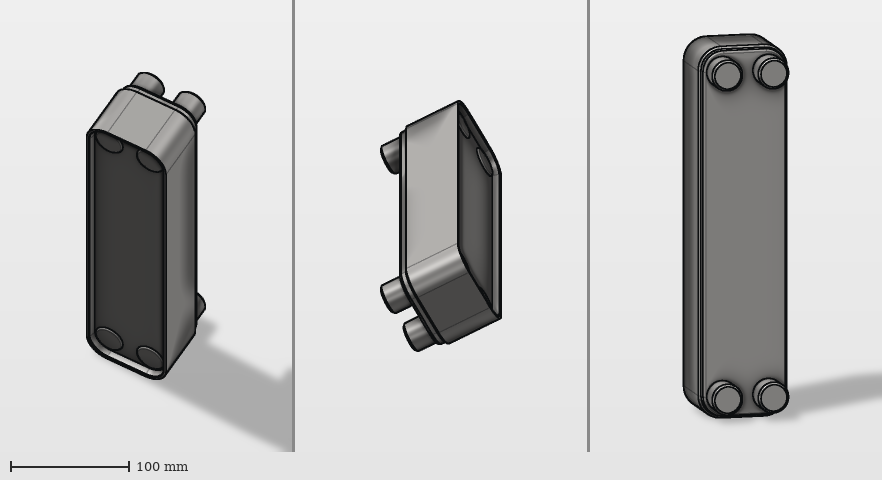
import cadquery as cq
import math

pack_length = 319.0
pack_width = 77.5
pack_corner_radius = 20.0
overall_depth = 77.8

shoulder_bevel_depth = 1.5
shoulder_bevel_width = 2.07
dish_height = 6.7
dish_lean = 1.0
dish_edge_radius = 2.0
cover_thickness = 2.2

rim_width = 2.2
mouth_bevel = 0.5
recess_depth = 6.5
recess_lean = 1.5
front_plate_thickness = cover_thickness

nozzle_diameter = 26.5
nozzle_length = 20.0
nozzle_bevel = 2.0
nozzle_offset_x = 20.0
nozzle_offset_z = 139.0
boss_height = 1.5
boss_edge_radius = 1.45

front_y = -overall_depth / 2
recess_floor_y = front_y + recess_depth
front_plate_back_y = recess_floor_y + front_plate_thickness
dish_back_y = overall_depth / 2 - nozzle_length
cover_seam_y = dish_back_y - cover_thickness
dish_foot_y = dish_back_y - dish_height
shoulder_y = dish_foot_y - shoulder_bevel_depth

wall_inset = rim_width + mouth_bevel
floor_inset = wall_inset + recess_lean

port_centres = [
    (side * nozzle_offset_x, level * nozzle_offset_z)
    for side in (-1, 1)
    for level in (-1, 1)
]


def plane_facing_back(y, x=0.0, z=0.0):
    """Work plane at the given place whose normal points along +Y."""
    return cq.Plane(origin=(x, y, z), xDir=(1, 0, 0), normal=(0, 1, 0))


def rounded_slab(inset, start_y, end_y, lean=0.0):
    """Rounded slab inset from the pack outline, its sides leaning in by lean from start_y to end_y."""
    outline = cq.Sketch().rect(pack_width - 2 * inset, pack_length - 2 * inset)
    outline = outline.vertices().fillet(pack_corner_radius - inset)
    depth = end_y - start_y
    draft = math.degrees(math.atan2(lean, depth))
    return cq.Workplane(plane_facing_back(start_y)).placeSketch(outline).extrude(depth, taper=draft)


def make_dish():
    """Raised dish with leaning walls and a rounded edge around its back face."""
    dish = rounded_slab(shoulder_bevel_width, dish_foot_y, dish_back_y, dish_lean)
    return dish.faces(">Y").edges().fillet(dish_edge_radius)


def make_recess():
    """Space of the front recess: bevelled mouth, leaning walls and flat floor."""
    mouth_end_y = front_y + mouth_bevel
    mouth = rounded_slab(rim_width, front_y, mouth_end_y, mouth_bevel)
    return mouth.union(rounded_slab(wall_inset, mouth_end_y, recess_floor_y, recess_lean))


def make_plate_pack():
    """Main block with the lower part of the dish behind and the recess and plate seat in front."""
    block = rounded_slab(0, front_y, shoulder_y)
    shoulder = rounded_slab(0, shoulder_y, dish_foot_y, shoulder_bevel_width)
    dish_base = make_dish().cut(rounded_slab(0, cover_seam_y, dish_back_y))
    plate_seat = rounded_slab(floor_inset, recess_floor_y, front_plate_back_y)
    return block.union(shoulder).union(dish_base).cut(make_recess()).cut(plate_seat)


def make_back_cover():
    """Outermost layer of the dish, with its rounded edge."""
    return make_dish().intersect(rounded_slab(0, cover_seam_y, dish_back_y))


def make_front_plate():
    """Flat floor panel of the recess with four low round-edged bosses."""
    plate = rounded_slab(floor_inset, recess_floor_y, front_plate_back_y)
    for x, z in port_centres:
        plane = plane_facing_back(recess_floor_y - boss_height, x, z)
        boss = cq.Workplane(plane).circle(nozzle_diameter / 2).extrude(boss_height)
        plate = plate.union(boss.faces("<Y").edges().fillet(boss_edge_radius))
    return plate


def make_nozzle(x, z):
    """Round stub standing on the back cover, bevelled at its free end."""
    stub = cq.Workplane(plane_facing_back(dish_back_y, x, z)).circle(nozzle_diameter / 2).extrude(nozzle_length)
    return stub.faces(">Y").chamfer(nozzle_bevel)


plate_pack = make_plate_pack()
back_cover = make_back_cover()
front_plate = make_front_plate()
nozzles = [make_nozzle(x, z).val() for x, z in port_centres]

result = cq.Compound.makeCompound([plate_pack.val(), back_cover.val(), front_plate.val(), *nozzles])